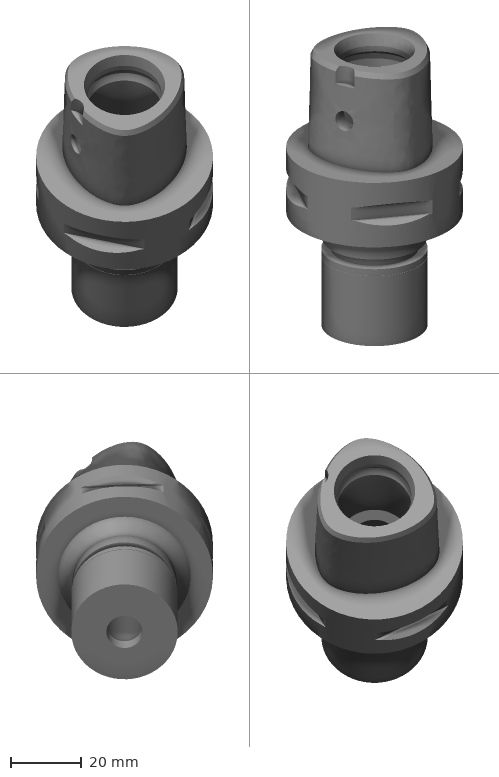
import cadquery as cq
import math


TOTAL_HEIGHT = 85.0

SHANK_HEIGHT = 30.0
SHANK_BASE_RADIUS = 17.6
SHANK_LOBE = 1.2
TAPER_SLOPE = 1 / 40
TOP_CHAMFER_HEIGHT = 1.5
TOP_CHAMFER_INSET = 0.81
POLYGON_POINTS = 48

FLANGE_RADIUS = 25.0
FLANGE_HEIGHT = 20.0
CONE_TOP_RADIUS = 18.7
COLLAR_RADIUS = 14.8
COLLAR_HEIGHT = 4.4
NECK_RADIUS = 12.5
NECK_GAP = 2.9

FLAT_DISTANCE = 22.0
FLAT_HEIGHT = 4.2
FLAT_WALL_DEPTH = 0.7
FLAT_MOUTH_HEIGHT = 6.7
FLAT_ANGLES = (45, 135, 225, 315)

MOUTH_RADIUS = 11.5
BORE_RADIUS = 10.45
MOUTH_DEPTH = 3.4
GROOVE_RADIUS = 11.8
GROOVE_START = 5.1
GROOVE_WALL_START = 6.3
GROOVE_WALL_END = 7.9
GROOVE_END = 9.6
COUNTERBORE_RADIUS = 7.2
COUNTERBORE_DEPTH = 10.2
CHANNEL_RADIUS = 5.9

NOTCH_RADIUS = 3.7
NOTCH_OFFSET = 17.5
NOTCH_DEPTH = 5.3
SIDE_HOLE_RADIUS = 3.0
SIDE_HOLE_HEIGHT = 14.0
SIDE_HOLE_FLOOR = 11.3

NUT_RADIUS = 15.05
NUT_MOUTH_RADIUS = 5.1
NUT_FLOOR = 4.25
NUT_COLLAR_HEIGHT = 1.9
NUT_GROOVE_WIDTH = 0.25
NUT_GROOVE_DEPTH = 0.13

FLANGE_BOTTOM = -FLANGE_HEIGHT
CONE_BOTTOM = FLANGE_BOTTOM - (CONE_TOP_RADIUS - COLLAR_RADIUS)
COLLAR_BOTTOM = CONE_BOTTOM - COLLAR_HEIGHT
NUT_TOP = COLLAR_BOTTOM - NECK_GAP
NUT_BOTTOM = SHANK_HEIGHT - TOTAL_HEIGHT
NECK_BOTTOM = NUT_BOTTOM + NUT_FLOOR


def revolve_profile(points):
    """Revolve a closed outline of (radius, z) points about the Z axis."""
    return cq.Workplane("XZ").polyline(points).close().revolve(360, (0, 0), (0, 1))


def lobed_wire(mean_radius, z):
    """Three-lobed curve of constant width, with one lobe on +Y."""
    points = []
    for i in range(POLYGON_POINTS):
        angle = 2 * math.pi * i / POLYGON_POINTS
        support = mean_radius + SHANK_LOBE * math.cos(3 * angle)
        slope = -3 * SHANK_LOBE * math.sin(3 * angle)
        along = support * math.cos(angle) - slope * math.sin(angle)
        across = support * math.sin(angle) + slope * math.cos(angle)
        points.append(cq.Vector(-across, along, z))
    return cq.Wire.assembleEdges([cq.Edge.makeSpline(points, periodic=True)])


def make_shank():
    """Tapered shank with a chamfered top edge."""
    chamfer_start = SHANK_HEIGHT - TOP_CHAMFER_HEIGHT
    chamfer_radius = SHANK_BASE_RADIUS - TAPER_SLOPE * chamfer_start
    base = lobed_wire(SHANK_BASE_RADIUS, 0)
    shoulder = lobed_wire(chamfer_radius, chamfer_start)
    tip = lobed_wire(chamfer_radius - TOP_CHAMFER_INSET, SHANK_HEIGHT)
    taper = cq.Solid.makeLoft([base, shoulder], True)
    chamfer = cq.Solid.makeLoft([shoulder, tip], True)
    return cq.Workplane(taper).union(cq.Workplane(chamfer))


def make_flange_and_neck():
    return revolve_profile([
        (0, 0),
        (FLANGE_RADIUS, 0),
        (FLANGE_RADIUS, FLANGE_BOTTOM),
        (CONE_TOP_RADIUS, FLANGE_BOTTOM),
        (COLLAR_RADIUS, CONE_BOTTOM),
        (COLLAR_RADIUS, COLLAR_BOTTOM),
        (NECK_RADIUS, COLLAR_BOTTOM),
        (NECK_RADIUS, NECK_BOTTOM),
        (0, NECK_BOTTOM),
    ])


def make_bore():
    """Stepped through bore with a conical mouth and a gripper groove."""
    top = SHANK_HEIGHT
    return revolve_profile([
        (0, top),
        (MOUTH_RADIUS, top),
        (BORE_RADIUS, top - MOUTH_DEPTH),
        (BORE_RADIUS, top - GROOVE_START),
        (GROOVE_RADIUS, top - GROOVE_WALL_START),
        (GROOVE_RADIUS, top - GROOVE_WALL_END),
        (BORE_RADIUS, top - GROOVE_END),
        (BORE_RADIUS, 0),
        (COUNTERBORE_RADIUS, 0),
        (COUNTERBORE_RADIUS, -COUNTERBORE_DEPTH),
        (CHANNEL_RADIUS, -COUNTERBORE_DEPTH),
        (CHANNEL_RADIUS, NECK_BOTTOM),
        (0, NECK_BOTTOM),
    ])


def make_flat_cutter(angle):
    """Slot with a flat floor and straight, then flared, upper and lower sides."""
    middle = -FLANGE_HEIGHT / 2
    half_floor = FLAT_HEIGHT / 2
    flare_start = FLAT_DISTANCE + FLAT_WALL_DEPTH
    half_mouth = FLAT_MOUTH_HEIGHT / 2
    profile = [
        (FLAT_DISTANCE, middle - half_floor),
        (flare_start, middle - half_floor),
        (FLANGE_RADIUS, middle - half_mouth),
        (FLANGE_RADIUS, middle + half_mouth),
        (flare_start, middle + half_floor),
        (FLAT_DISTANCE, middle + half_floor),
    ]
    cutter = cq.Workplane("XZ").polyline(profile).close().extrude(FLANGE_RADIUS, both=True)
    return cutter.rotate((0, 0, 0), (0, 0, 1), angle)


def make_notch_cutter():
    floor = cq.Workplane("XY", origin=(0, -NOTCH_OFFSET, SHANK_HEIGHT - NOTCH_DEPTH))
    return floor.circle(NOTCH_RADIUS).extrude(NOTCH_DEPTH)


def make_side_hole_cutter():
    floor = cq.Workplane("XZ", origin=(0, -SIDE_HOLE_FLOOR, SIDE_HOLE_HEIGHT))
    return floor.circle(SIDE_HOLE_RADIUS).extrude(SHANK_BASE_RADIUS - SIDE_HOLE_FLOOR)


def make_holder():
    body = make_shank().union(make_flange_and_neck())
    body = body.cut(make_bore())
    for angle in FLAT_ANGLES:
        body = body.cut(make_flat_cutter(angle))
    return body.cut(make_notch_cutter()).cut(make_side_hole_cutter())


def make_nut():
    """Cup-shaped nut around the neck, with a fine groove under its collar."""
    groove_top = NUT_TOP - NUT_COLLAR_HEIGHT
    groove_bottom = groove_top - NUT_GROOVE_WIDTH
    groove_floor = NUT_RADIUS - NUT_GROOVE_DEPTH
    return revolve_profile([
        (NECK_RADIUS, NUT_TOP),
        (NUT_RADIUS, NUT_TOP),
        (NUT_RADIUS, groove_top),
        (groove_floor, groove_top),
        (groove_floor, groove_bottom),
        (NUT_RADIUS, groove_bottom),
        (NUT_RADIUS, NUT_BOTTOM),
        (NUT_MOUTH_RADIUS, NUT_BOTTOM),
        (NUT_MOUTH_RADIUS, NECK_BOTTOM),
        (NECK_RADIUS, NECK_BOTTOM),
    ])


holder = make_holder()
nut = make_nut()
result = cq.Compound.makeCompound([*holder.solids().vals(), nut.val()])